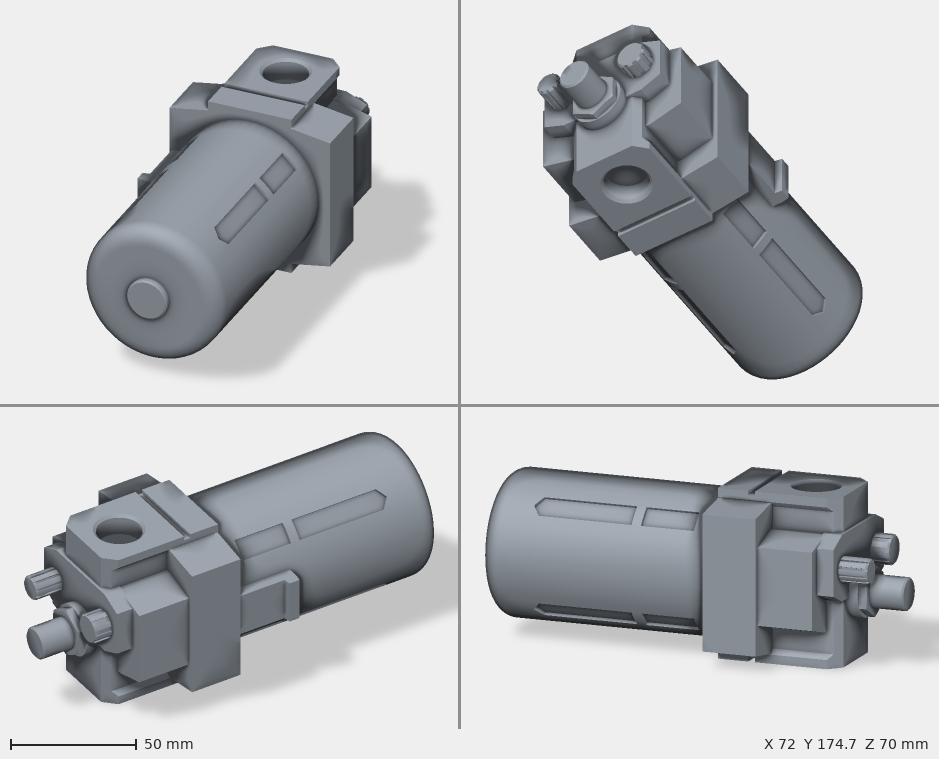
import cadquery as cq
import math


overall_length = 174.7
overall_width = 72.0
head_width = 70.0

block_half_x = 18.2
block_half_z = head_width / 2
block_back = 51.7
block_corner_chamfer = 5.0
neck_half_x = 16.0
flange_inner_z = 31.3
flare = block_half_x - neck_half_x
groove_front = 13.0
groove_width = 3.0
groove_depth = 1.7

port_diameter = 18.7
port_mouth_diameter = 21.0
port_y = 35.0
port_depth = 9.0
port_chamfer = (port_mouth_diameter - port_diameter) / 2

collar_half_x = head_width / 2
collar_edge_z = 28.1
collar_root_z = 31.0
collar_root_x = block_half_x - (flange_inner_z - collar_root_z)
collar_back = 22.7

arm_half_x = 32.5
arm_edge_z = 16.0
arm_root_z = 20.1
arm_back = 46.0

plate_half_x = 27.3
plate_center_z = 7.0
plate_half_z = 13.6
plate_edge_half_z = 9.6
plate_front = 45.0
plate_back = 53.1

bowl_diameter = 60.3
bowl_length = 97.1
bowl_round = 7.2
drain_diameter = 17.5
drain_end = 100.1
drain_chamfer = 0.7

window_width = 8.7
window_floor_radius = 28.5
window_cut_height = 7.0
window_angles = (45, 135, 225, 315)
short_window = (7.9, 30.5)
long_window = (34.6, 77.4)
long_window_point = 3.1

latch_half_z = 9.3
latch_outer_x = 33.9
latch_length = 27.0
hook_outer_x = overall_width - collar_half_x
hook_start = 21.3
hook_taper = 0.5
latch_overlap = 1.7

pilot_z = -6.0
pilot_flange_diameter = 22.0
pilot_flange_back = 57.0
hex_across_flats = 18.7
hex_back = 60.3
hex_sides = 6
hex_corner_diameter = hex_across_flats / math.cos(math.pi / hex_sides)
hex_chamfer_angle = 15
pilot_diameter = 13.6
pilot_end = overall_length - drain_end
pilot_chamfer = 0.7

knob_x = 18.0
knob_z = 6.8
knob_top_chamfer = 0.7
knob_base_chamfer = 0.5
wide_knob_diameter = 12.5
wide_knob_end = 61.1
wide_knob_flutes = 9
wide_knob_flute_width = 2.1
wide_knob_flute_depth = 0.7
slim_knob_diameter = 10.3
slim_knob_end = 65.5
slim_knob_flutes = 10
slim_knob_flute_width = 1.0
slim_knob_flute_depth = 0.9


def prism_along_y(points, y_start, y_end):
    """Extrude an XZ outline from y_start to y_end."""
    plane = cq.Workplane("XZ", origin=(0, y_start, 0))
    return plane.polyline(points).close().extrude(y_start - y_end)


def cylinder_along_y(diameter, y_start, y_end, x=0, z=0):
    plane = cq.Workplane("XZ", origin=(x, y_start, z))
    return plane.circle(diameter / 2).extrude(y_start - y_end)


def chamfered_bar(half_x, flat_half_x, center_z, edge_half_z, root_half_z, y_start, y_end):
    """Bar along X whose top and bottom slope down towards both ends."""
    quarter = [(half_x, edge_half_z), (flat_half_x, root_half_z)]
    upper = quarter + [(-x, z) for x, z in reversed(quarter)]
    lower = [(-x, -z) for x, z in upper]
    outline = [(x, z + center_z) for x, z in upper + lower]
    return prism_along_y(outline, y_start, y_end)


def make_block():
    quarter = [
        (neck_half_x, flange_inner_z - flare),
        (block_half_x, flange_inner_z),
        (block_half_x, block_half_z),
    ]
    upper = quarter + [(-x, z) for x, z in reversed(quarter)]
    section = upper + [(-x, -z) for x, z in upper]
    block = prism_along_y(section, 0, block_back)

    envelope = (
        cq.Workplane("XY")
        .box(2 * block_half_x, block_back, 2 * block_half_z, centered=(True, False, True))
        .edges("|Z and >Y")
        .chamfer(block_corner_chamfer)
    )
    block = block.intersect(envelope)

    for side in (1, -1):
        groove = cq.Workplane("XY").box(2 * block_half_x, groove_width, 2 * groove_depth)
        groove_y = groove_front + groove_width / 2
        block = block.cut(groove.translate((0, groove_y, side * block_half_z)))
    return block


def make_port(side):
    """Blind port with a chamfered mouth, opening towards side * Z."""
    profile = [
        (0, block_half_z),
        (port_mouth_diameter / 2, block_half_z),
        (port_diameter / 2, block_half_z - port_chamfer),
        (port_diameter / 2, block_half_z - port_depth),
        (0, block_half_z - port_depth),
    ]
    points = [(radius, side * z) for radius, z in profile]
    port = cq.Workplane("XZ").polyline(points).close().revolve(360, (0, 0), (0, 1))
    return port.translate((0, port_y, 0))


def make_window(angle, start, end, point):
    """Cutter for a flat-floored window; point is the length of its tapered tip."""
    half = window_width / 2
    outline = [(-half, -start), (half, -start), (half, point - end)]
    if point:
        outline.append((0, -end))
    outline.append((-half, point - end))
    cutter = (
        cq.Workplane("XY", origin=(0, 0, window_floor_radius))
        .polyline(outline)
        .close()
        .extrude(window_cut_height)
    )
    return cutter.rotate((0, 0, 0), (0, 1, 0), angle)


def make_bowl():
    bowl = cylinder_along_y(bowl_diameter, 0, -bowl_length)
    bowl = bowl.faces("<Y").edges().fillet(bowl_round)
    for angle in window_angles:
        bowl = bowl.cut(make_window(angle, *short_window, 0))
        bowl = bowl.cut(make_window(angle, *long_window, long_window_point))
    drain = cylinder_along_y(drain_diameter, -bowl_length, -drain_end)
    return bowl.union(drain.faces("<Y").chamfer(drain_chamfer))


def make_latch():
    inner_x = math.sqrt((bowl_diameter / 2) ** 2 - latch_half_z ** 2) - latch_overlap
    outline = [
        (-inner_x, 0),
        (-latch_outer_x, 0),
        (-latch_outer_x, -hook_start),
        (-hook_outer_x, -hook_start - hook_taper),
        (-hook_outer_x, -latch_length + hook_taper),
        (-latch_outer_x, -latch_length),
        (-inner_x, -latch_length),
    ]
    return cq.Workplane("XY").polyline(outline).close().extrude(latch_half_z, both=True)


def make_pilot():
    flange = cylinder_along_y(pilot_flange_diameter, block_back, pilot_flange_back, z=pilot_z)
    hexagon = (
        cq.Workplane("XZ", origin=(0, pilot_flange_back, pilot_z))
        .polygon(hex_sides, hex_corner_diameter)
        .extrude(pilot_flange_back - hex_back)
        .rotate((0, 0, pilot_z), (0, 1, pilot_z), 180 / hex_sides)
    )
    bevel_radial = (hex_corner_diameter - hex_across_flats) / 2
    bevel_axial = bevel_radial * math.tan(math.radians(hex_chamfer_angle))
    envelope = (
        cylinder_along_y(hex_corner_diameter, pilot_flange_back, hex_back, z=pilot_z)
        .faces(">Y")
        .chamfer(bevel_axial, bevel_radial)
    )
    hexagon = hexagon.intersect(envelope)
    stem = cylinder_along_y(pilot_diameter, hex_back, pilot_end, z=pilot_z)
    stem = stem.faces(">Y").chamfer(pilot_chamfer)
    return flange.union(hexagon).union(stem)


def make_knob(x, diameter, end, flute_count, flute_width, flute_depth):
    """Fluted knob on the back plate, with one flute facing +Z."""
    knob = cylinder_along_y(diameter, plate_back, end)
    knob = knob.faces(">Y").chamfer(knob_top_chamfer)
    knob = knob.faces("<Y").chamfer(knob_base_chamfer)
    height = end - plate_back
    flute = cq.Workplane("XY").box(flute_width, height, 2 * flute_depth)
    flute = flute.translate((0, plate_back + height / 2, diameter / 2))
    for index in range(flute_count):
        knob = knob.cut(flute.rotate((0, 0, 0), (0, 1, 0), index * 360 / flute_count))
    return knob.translate((x, 0, knob_z))


collar = chamfered_bar(
    collar_half_x, collar_root_x, 0, collar_edge_z, collar_root_z, 0, collar_back
)
arms = chamfered_bar(arm_half_x, block_half_x, 0, arm_edge_z, arm_root_z, 0, arm_back)
plate = chamfered_bar(
    plate_half_x, block_half_x, plate_center_z,
    plate_edge_half_z, plate_half_z, plate_front, plate_back,
)

result = make_block().union(collar).union(arms).union(plate)
for port_side in (1, -1):
    result = result.cut(make_port(port_side))
result = result.union(make_bowl()).union(make_latch()).union(make_pilot())
wide_knob = make_knob(
    -knob_x, wide_knob_diameter, wide_knob_end,
    wide_knob_flutes, wide_knob_flute_width, wide_knob_flute_depth,
)
slim_knob = make_knob(
    knob_x, slim_knob_diameter, slim_knob_end,
    slim_knob_flutes, slim_knob_flute_width, slim_knob_flute_depth,
)
result = result.union(wide_knob).union(slim_knob)